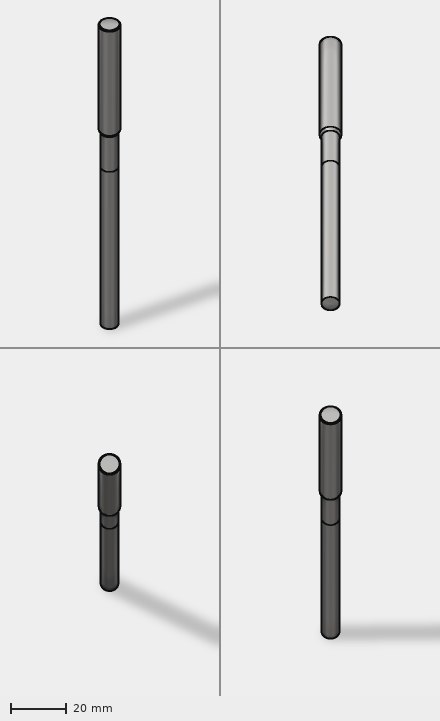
import cadquery as cq
import math

total_length = 140.0
shank_diameter = 8.0
neck_diameter = 6.6

shoulder_top = 91.4
shoulder_height = 1.3
joint_height = 74.0

top_chamfer = 0.4
point_angle = 140.0

shank_radius = shank_diameter / 2
neck_radius = neck_diameter / 2
shoulder_bottom = shoulder_top - shoulder_height
point_height = neck_radius / math.tan(math.radians(point_angle / 2))


def revolve_profile(points):
    """Revolve a closed (radius, height) outline about the Z axis."""
    return cq.Workplane("XZ").polyline(points).close().revolve(360, (0, 0), (0, 1))


def make_holder():
    """Shank with a chamfered top and a conical shoulder down to the neck."""
    return revolve_profile([
        (0, joint_height),
        (neck_radius, joint_height),
        (neck_radius, shoulder_bottom),
        (shank_radius, shoulder_top),
        (shank_radius, total_length - top_chamfer),
        (shank_radius - top_chamfer, total_length),
        (0, total_length),
    ])


def make_cutting_rod():
    """Round rod below the neck, ending in a shallow drill point."""
    return revolve_profile([
        (0, 0),
        (neck_radius, point_height),
        (neck_radius, joint_height),
        (0, joint_height),
    ])


holder = make_holder()
cutting_rod = make_cutting_rod()

result = cq.Compound.makeCompound([holder.val(), cutting_rod.val()])